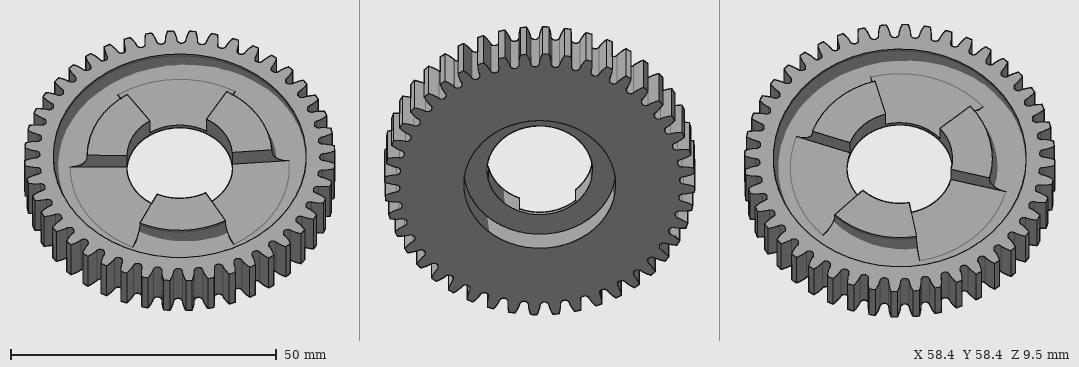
import cadquery as cq
import math

outer_side = 58.35
thickness = 9.5

tooth_count = 44
pressure_angle = math.radians(14.5)
flank_point_count = 5
gap_depth_below_base = 0.7

bore_radius = 9.9
floor_depth = 3.75
rim_radius = 23.8
lug_radius = 17.45
groove_mid_radius = (rim_radius + lug_radius) / 2
groove_radius = (rim_radius - lug_radius) / 2
floor_z = thickness - floor_depth
groove_top_z = floor_z + groove_radius
groove_diagonal = groove_radius * math.sqrt(0.5)

lug_count = 3
lug_span = 55.0
lug_pitch = 360 / lug_count
first_lug_angle = 90.0

recess_radius = 14.3
web_thickness = 0.9
recess_depth = floor_z - web_thickness


def involute(angle):
    return math.tan(angle) - angle


def polar(radius, angle):
    return (radius * math.cos(angle), radius * math.sin(angle))


half_pitch = math.pi / tooth_count
tip_ratio = (tooth_count + 2) / tooth_count
base_half_tooth = half_pitch / 2 + involute(pressure_angle)
tip_pressure_angle = math.acos(math.cos(pressure_angle) / tip_ratio)
tip_half_tooth = base_half_tooth - involute(tip_pressure_angle)

tip_radius = outer_side / 2 / math.cos(half_pitch - tip_half_tooth)
base_radius = tip_radius / tip_ratio * math.cos(pressure_angle)
root_radius = base_radius - gap_depth_below_base


def flank(tooth_angle, side):
    """Points of one involute flank, from the base circle out to the tip."""
    points = []
    for step in range(flank_point_count):
        roll = tip_pressure_angle * step / (flank_point_count - 1)
        half_tooth = base_half_tooth - involute(roll)
        points.append(polar(base_radius / math.cos(roll), tooth_angle + side * half_tooth))
    return points


def make_gear_blank():
    """Toothed disc: involute flanks, round tips and round tooth gaps."""
    first_angle = half_pitch
    outline = cq.Workplane("XY").moveTo(*flank(first_angle, -1)[0])
    for tooth in range(tooth_count):
        angle = first_angle + 2 * half_pitch * tooth
        rising = flank(angle, -1)
        falling = flank(angle, 1)[::-1]
        next_start = flank(angle + 2 * half_pitch, -1)[0]
        outline = outline.spline(rising[1:], includeCurrent=True)
        outline = outline.threePointArc(polar(tip_radius, angle), falling[0])
        outline = outline.spline(falling[1:], includeCurrent=True)
        outline = outline.threePointArc(polar(root_radius, angle + half_pitch), next_start)
    return outline.close().extrude(thickness)


def make_dish_sector(inner_profile, center_angle, span):
    """Sector of the dish cavity: the given inner side, then the curved wall up to the rim."""
    return (
        inner_profile.threePointArc(
            (groove_mid_radius + groove_diagonal, groove_top_z - groove_diagonal),
            (rim_radius, groove_top_z),
        )
        .lineTo(rim_radius, thickness)
        .close()
        .revolve(span, (0, 0, 0), (0, 1, 0))
        .rotate((0, 0, 0), (0, 0, 1), center_angle - span / 2)
    )


def make_lug_sector(center_angle):
    """Cavity outside one lug: a groove with a round bottom."""
    inner_profile = (
        cq.Workplane("XZ")
        .moveTo(lug_radius, thickness)
        .lineTo(lug_radius, groove_top_z)
        .threePointArc(
            (groove_mid_radius - groove_diagonal, groove_top_z - groove_diagonal),
            (groove_mid_radius, floor_z),
        )
    )
    return make_dish_sector(inner_profile, center_angle, lug_span)


def make_gap_sector(center_angle):
    """Cavity between two lugs: open from the bore out over the flat floor."""
    inner_profile = (
        cq.Workplane("XZ")
        .moveTo(bore_radius, thickness)
        .lineTo(bore_radius, floor_z)
        .lineTo(groove_mid_radius, floor_z)
    )
    return make_dish_sector(inner_profile, center_angle, lug_pitch - lug_span)


bore = cq.Workplane("XY").circle(bore_radius).extrude(thickness)
recess = cq.Workplane("XY").circle(recess_radius).extrude(recess_depth)

result = make_gear_blank().cut(bore).cut(recess)
for index in range(lug_count):
    lug_angle = first_lug_angle + index * lug_pitch
    result = result.cut(make_lug_sector(lug_angle))
    result = result.cut(make_gap_sector(lug_angle + lug_pitch / 2))